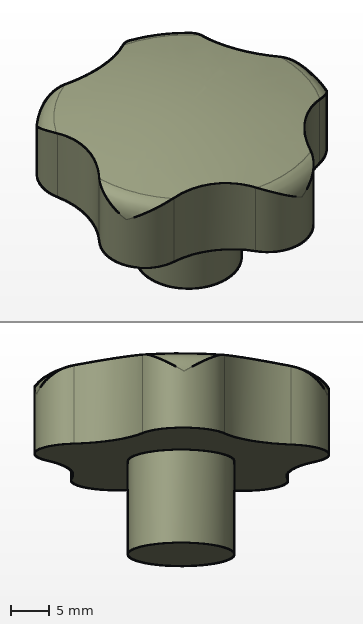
import cadquery as cq
import math


TOTAL_HEIGHT = 25.0
STEM_HEIGHT = 12.5
STEM_DIAMETER = 14.0

LOBE_COUNT = 5
HEAD_RADIUS = 20.0
LOBE_RADIUS = 6.0
SCALLOP_RADIUS = 12.0

DOME_RADIUS = 80.0
RIM_RADIUS = 3.0

FIRST_LOBE_ANGLE = -90.0

LOBE_PITCH = 360.0 / LOBE_COUNT
HALF_PITCH = LOBE_PITCH / 2
LOBE_CENTER_RADIUS = HEAD_RADIUS - LOBE_RADIUS

HALF_LOBE_SPACING = LOBE_CENTER_RADIUS * math.sin(math.radians(HALF_PITCH))
LOBE_MIDPOINT_RADIUS = LOBE_CENTER_RADIUS * math.cos(math.radians(HALF_PITCH))
ARC_CENTER_DISTANCE = LOBE_RADIUS + SCALLOP_RADIUS
SCALLOP_CENTER_RADIUS = LOBE_MIDPOINT_RADIUS + math.sqrt(ARC_CENTER_DISTANCE**2 - HALF_LOBE_SPACING**2)


def polar(radius, angle):
    """Point in the XY plane at a radius and an angle in degrees."""
    radians = math.radians(angle)
    return (radius * math.cos(radians), radius * math.sin(radians))


def tangent_point(lobe_angle, scallop_angle):
    """Point where a lobe arc meets its neighboring scallop arc."""
    lobe_x, lobe_y = polar(LOBE_CENTER_RADIUS, lobe_angle)
    scallop_x, scallop_y = polar(SCALLOP_CENTER_RADIUS, scallop_angle)
    fraction = LOBE_RADIUS / ARC_CENTER_DISTANCE
    return (
        lobe_x + fraction * (scallop_x - lobe_x),
        lobe_y + fraction * (scallop_y - lobe_y),
    )


def star_prism():
    """Full-height head with alternating tangent lobe and scallop arcs."""
    valley_radius = SCALLOP_CENTER_RADIUS - SCALLOP_RADIUS
    start = tangent_point(FIRST_LOBE_ANGLE, FIRST_LOBE_ANGLE - HALF_PITCH)
    outline = cq.Workplane("XY").workplane(offset=STEM_HEIGHT).moveTo(*start)
    for index in range(LOBE_COUNT):
        lobe_angle = FIRST_LOBE_ANGLE + index * LOBE_PITCH
        scallop_angle = lobe_angle + HALF_PITCH
        next_lobe_angle = lobe_angle + LOBE_PITCH
        lobe_end = tangent_point(lobe_angle, scallop_angle)
        scallop_end = tangent_point(next_lobe_angle, scallop_angle)
        outline = outline.threePointArc(polar(HEAD_RADIUS, lobe_angle), lobe_end)
        outline = outline.threePointArc(polar(valley_radius, scallop_angle), scallop_end)
    return outline.close().extrude(TOTAL_HEIGHT - STEM_HEIGHT)


def dome_envelope():
    """Revolved body whose domed top blends through the rim rounding into a cylinder."""
    dome_center_z = TOTAL_HEIGHT - DOME_RADIUS
    rim_center_radius = HEAD_RADIUS - RIM_RADIUS
    center_distance = DOME_RADIUS - RIM_RADIUS
    rim_center_z = dome_center_z + math.sqrt(center_distance**2 - rim_center_radius**2)
    blend_angle = math.asin(rim_center_radius / center_distance)
    rim_mid_angle = (blend_angle + math.pi / 2) / 2

    def dome_point(angle):
        return (DOME_RADIUS * math.sin(angle), dome_center_z + DOME_RADIUS * math.cos(angle))

    rim_mid = (
        rim_center_radius + RIM_RADIUS * math.sin(rim_mid_angle),
        rim_center_z + RIM_RADIUS * math.cos(rim_mid_angle),
    )
    return (
        cq.Workplane("YZ")
        .moveTo(0, STEM_HEIGHT)
        .lineTo(HEAD_RADIUS, STEM_HEIGHT)
        .lineTo(HEAD_RADIUS, rim_center_z)
        .threePointArc(rim_mid, dome_point(blend_angle))
        .threePointArc(dome_point(blend_angle / 2), (0, TOTAL_HEIGHT))
        .close()
        .revolve(360, (0, 0), (0, 1))
    )


def stem():
    """Round stem from the base up to the underside of the head."""
    return cq.Workplane("XY").circle(STEM_DIAMETER / 2).extrude(STEM_HEIGHT)


head = star_prism().intersect(dome_envelope())
result = head.union(stem())